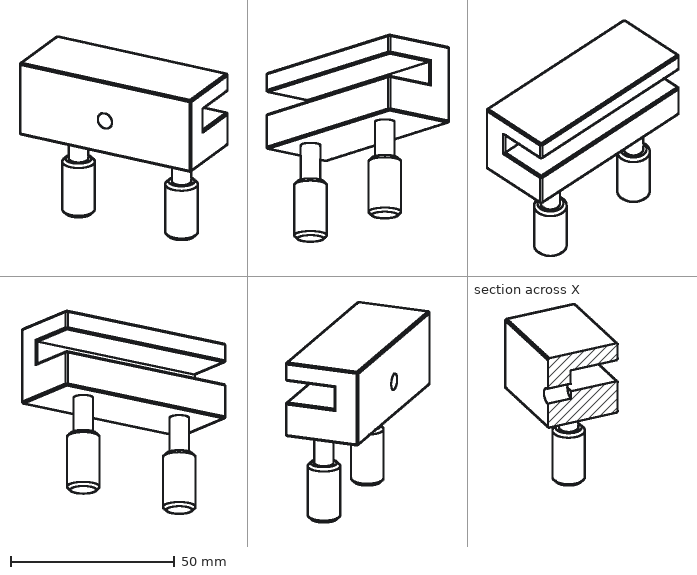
import cadquery as cq

block_length = 60.0
block_depth = 24.0
block_height = 24.0
edge_chamfer = 0.5

slot_depth = 16.0
slot_floor = 11.0
slot_height = 7.0

hole_diameter = 5.0
hole_depth = block_depth - slot_depth

pin_spacing = 36.0
pin_y = block_depth / 2 - slot_depth / 2
shaft_diameter = 6.0
shaft_length = 11.5
knob_diameter = 10.0
knob_length = 18.0
knob_chamfer = 1.0


def make_block():
    """C-shaped block with every outward edge chamfered and the slot's inner corners left sharp."""
    front = -block_depth / 2
    back = block_depth / 2
    slot_wall = back - slot_depth
    slot_roof = slot_floor + slot_height
    outline = [
        (front, 0),
        (back, 0),
        (back, slot_floor),
        (slot_wall, slot_floor),
        (slot_wall, slot_roof),
        (back, slot_roof),
        (back, block_height),
        (front, block_height),
    ]
    block = cq.Workplane("YZ").polyline(outline).close().extrude(block_length / 2, both=True)
    inner_corners = cq.selectors.BoxSelector(
        (-block_length, slot_wall - edge_chamfer, slot_floor - edge_chamfer),
        (block_length, slot_wall + edge_chamfer, slot_roof + edge_chamfer),
    )
    lengthwise_inner_edges = cq.selectors.AndSelector(
        inner_corners, cq.selectors.ParallelDirSelector(cq.Vector(1, 0, 0))
    )
    outward_edges = cq.selectors.InverseSelector(lengthwise_inner_edges)
    return block.edges(outward_edges).chamfer(edge_chamfer)


def make_hole():
    """Horizontal cylinder on the level of the slot floor."""
    return (
        cq.Workplane("XZ", origin=(0, -block_depth / 2, slot_floor))
        .circle(hole_diameter / 2)
        .extrude(-hole_depth)
    )


def make_pin(x):
    """Plain shaft under the block with a chamfered cylindrical knob at its lower end."""
    shaft = cq.Workplane("XY", origin=(x, pin_y, 0)).circle(shaft_diameter / 2).extrude(-shaft_length)
    knob = (
        cq.Workplane("XY", origin=(x, pin_y, -shaft_length))
        .circle(knob_diameter / 2)
        .extrude(-knob_length)
        .edges("%CIRCLE")
        .chamfer(knob_chamfer)
    )
    return shaft.union(knob)


result = make_block().cut(make_hole())
for pin_x in (-pin_spacing / 2, pin_spacing / 2):
    result = result.union(make_pin(pin_x))